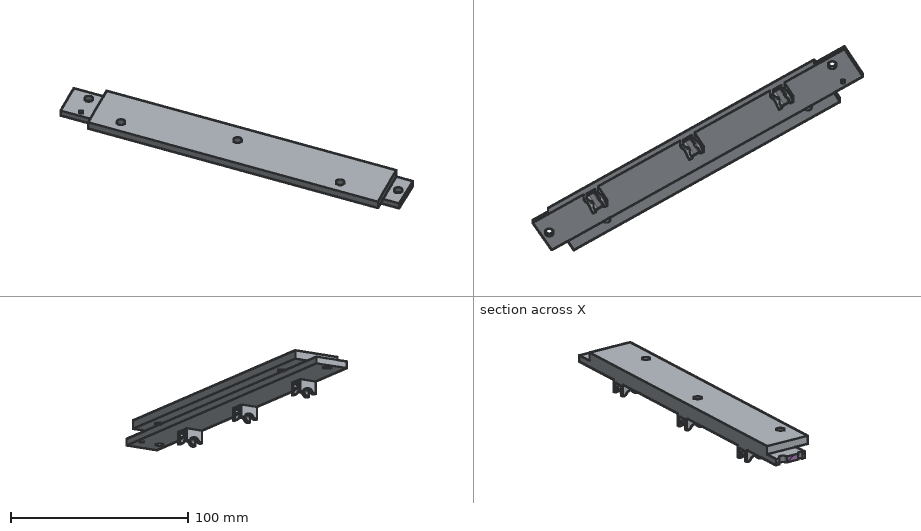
import cadquery as cq

base_length = 206.3
base_width = 20.0
base_thickness = 4.0
end_skew = 0.5

cover_start = 20.0
cover_length = 176.2
cover_width = 28.0
cover_thickness = 5.0

clip_centers = (44.5, 104.0, 167.7)
clip_width = 9.5
clip_depth = 10.1
clip_height = 7.2
opening_width = 5.5
window_height = 2.7
window_drop = 1.2
bridge_thickness = 0.6
notch_corner_radius = 1.5

groove_width = 9.5

hole_diameter = 4.7
pin_hole_diameter = 2.5
cover_hole_center = 103.8
cover_hole_pitch = 66.6
cover_middle_hole_y = -10.3
cover_outer_hole_y = -21.0
left_hole_x = 11.1
left_hole_y = -5.0
pin_hole_y = -16.7
right_hole_x = 201.3
right_hole_y = -base_width / 2

window_top = -window_drop
window_bottom = window_top - window_height
notch_top = window_bottom - bridge_thickness
notch_height = clip_height + notch_top


def make_base_plate():
    """Plate with a slightly skewed right end, a hole near each end and a small pin hole on the left."""
    outline = [
        (0, 0),
        (base_length, 0),
        (base_length - end_skew, -base_width),
        (0, -base_width),
    ]
    plate = cq.Workplane("XY").polyline(outline).close().extrude(base_thickness)
    locating_points = [(left_hole_x, left_hole_y), (right_hole_x, right_hole_y)]
    plate = plate.faces(">Z").workplane(origin=(0, 0, 0)).pushPoints(locating_points).hole(hole_diameter)
    pin_point = [(left_hole_x, pin_hole_y)]
    return plate.faces(">Z").workplane(origin=(0, 0, 0)).pushPoints(pin_point).hole(pin_hole_diameter)


def make_cover_plate():
    """Cover plate with three holes that end on the base plate."""
    hole_points = [
        (cover_hole_center - cover_hole_pitch, cover_outer_hole_y),
        (cover_hole_center, cover_middle_hole_y),
        (cover_hole_center + cover_hole_pitch, cover_outer_hole_y),
    ]
    plate = cq.Workplane("XY").box(cover_length, cover_width, cover_thickness, centered=False)
    plate = plate.translate((cover_start, -cover_width, base_thickness))
    return plate.faces(">Z").workplane(origin=(0, 0, 0)).pushPoints(hole_points).hole(hole_diameter)


def make_clip(center_x):
    """Clip with a window and a round-cornered notch from front to back and a groove from side to side."""
    centered_x = (True, False, False)
    clip = cq.Workplane("XY").box(clip_width, clip_depth, clip_height, centered=centered_x)
    clip = clip.translate((0, -clip_depth, -clip_height))

    window = cq.Workplane("XY").box(opening_width, clip_depth, window_height, centered=centered_x)
    window = window.translate((0, -clip_depth, window_bottom))

    notch = cq.Workplane("XY").box(opening_width, clip_depth, notch_height, centered=centered_x)
    notch = notch.edges("|Y and >Z").fillet(notch_corner_radius)
    notch = notch.translate((0, -clip_depth, -clip_height))

    middle = -clip_depth / 2
    half_width = groove_width / 2
    quarter_width = groove_width / 4
    half_height = notch_height / 2
    arc_radius = (quarter_width**2 + half_height**2) / (2 * half_height)
    groove = (
        cq.Workplane("YZ")
        .moveTo(middle - half_width, -clip_height)
        .radiusArc((middle - quarter_width, half_height - clip_height), -arc_radius)
        .threePointArc((middle, notch_top), (middle + quarter_width, half_height - clip_height))
        .radiusArc((middle + half_width, -clip_height), -arc_radius)
        .close()
        .extrude(clip_width / 2, both=True)
    )
    return clip.cut(window).cut(notch).cut(groove).translate((center_x, 0, 0))


result = make_base_plate().union(make_cover_plate())
for clip_center in clip_centers:
    result = result.union(make_clip(clip_center))